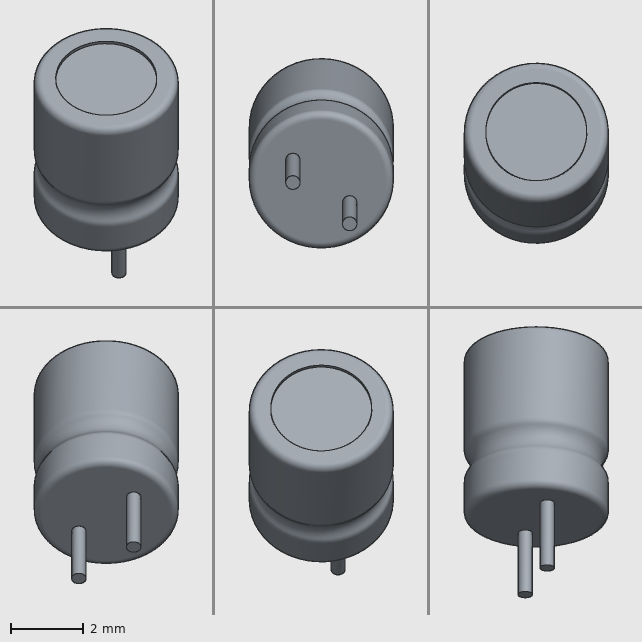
import cadquery as cq
import math

total_height = 7.0
long_lead_length = 2.0
short_lead_length = 1.9
can_height = total_height - long_lead_length
can_radius = 4.0 / 2
edge_radius = 0.2

recess_diameter = 2.8
recess_depth = 0.1

groove_z = 1.6
groove_half_width = 0.51
groove_depth = 0.16
lip_radius = 0.3

lead_diameter = 0.4
lead_spacing = 2.0


def make_can():
    """Rounded cylinder with a shallow circular recess in its top face."""
    can = cq.Workplane("XY").circle(can_radius).extrude(can_height)
    can = can.edges().fillet(edge_radius)
    recess = (
        cq.Workplane("XY", origin=(0, 0, can_height - recess_depth))
        .circle(recess_diameter / 2)
        .extrude(recess_depth)
    )
    return can.cut(recess)


def make_groove_cutter():
    """Ring whose inner side is the smooth groove profile."""
    turn = 2 * math.atan(groove_depth / groove_half_width)
    lip_height = lip_radius * math.sin(turn)

    def lip_inset(angle):
        return lip_radius * (1 - math.cos(angle))

    lip_mid_offset = groove_half_width - lip_radius * math.sin(turn / 2)
    lip_mid_radius = can_radius - lip_inset(turn / 2)
    lip_end_offset = groove_half_width - lip_height
    lip_end_radius = can_radius - lip_inset(turn)
    outside_radius = can_radius + groove_depth

    profile = (
        cq.Workplane("XZ")
        .moveTo(outside_radius, groove_z - groove_half_width)
        .lineTo(can_radius, groove_z - groove_half_width)
        .threePointArc(
            (lip_mid_radius, groove_z - lip_mid_offset),
            (lip_end_radius, groove_z - lip_end_offset),
        )
        .threePointArc(
            (can_radius - groove_depth, groove_z),
            (lip_end_radius, groove_z + lip_end_offset),
        )
        .threePointArc(
            (lip_mid_radius, groove_z + lip_mid_offset),
            (can_radius, groove_z + groove_half_width),
        )
        .lineTo(outside_radius, groove_z + groove_half_width)
        .close()
    )
    return profile.revolve(360, (0, 0, 0), (0, 1, 0))


def make_lead(x, length):
    """Round lead hanging from the underside of the can."""
    return cq.Workplane("XY").center(x, 0).circle(lead_diameter / 2).extrude(-length)


result = make_can().cut(make_groove_cutter())
for lead_x, lead_length in (
    (-lead_spacing / 2, long_lead_length),
    (lead_spacing / 2, short_lead_length),
):
    result = result.union(make_lead(lead_x, lead_length))